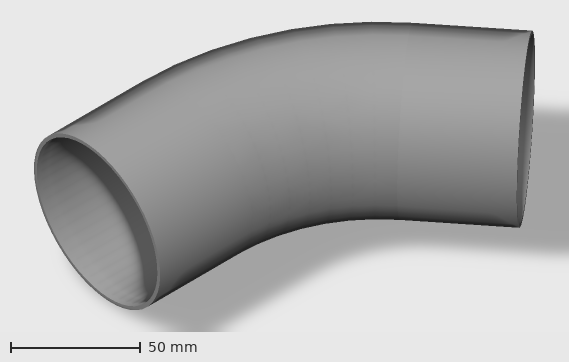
import cadquery as cq
import math

overall_length = 186.8
outer_diameter = 76.2
inner_diameter = 72.9
bend_angle = 45.0
bend_radius = 1.5 * outer_diameter

bend_sin = math.sin(math.radians(bend_angle))
bend_cos = math.cos(math.radians(bend_angle))
tangent_length = (overall_length - (bend_radius + outer_diameter / 2) * bend_sin) / (1 + bend_cos)


def tube_section(plane):
    """Ring-shaped wall section of the tube on the given plane."""
    return cq.Workplane(plane).circle(outer_diameter / 2).circle(inner_diameter / 2)


def straight_tangent(start, direction):
    """Straight tube running from start along direction."""
    plane = cq.Plane(origin=start, xDir=(0, 0, 1), normal=direction)
    return tube_section(plane).extrude(tangent_length)


def curved_bend(start):
    """Bent tube that begins at start heading +Y and turns about a Z axis on its +X side."""
    plane = cq.Plane(origin=start, xDir=(1, 0, 0), normal=(0, 1, 0))
    return tube_section(plane).revolve(bend_angle, (bend_radius, 0), (bend_radius, 1))


inlet_start = (0, 0, 0)
bend_start = (0, tangent_length, 0)
bend_end = (bend_radius * (1 - bend_cos), tangent_length + bend_radius * bend_sin, 0)

inlet = straight_tangent(inlet_start, (0, 1, 0))
bend = curved_bend(bend_start)
outlet = straight_tangent(bend_end, (bend_sin, bend_cos, 0))

result = inlet.union(bend).union(outlet)